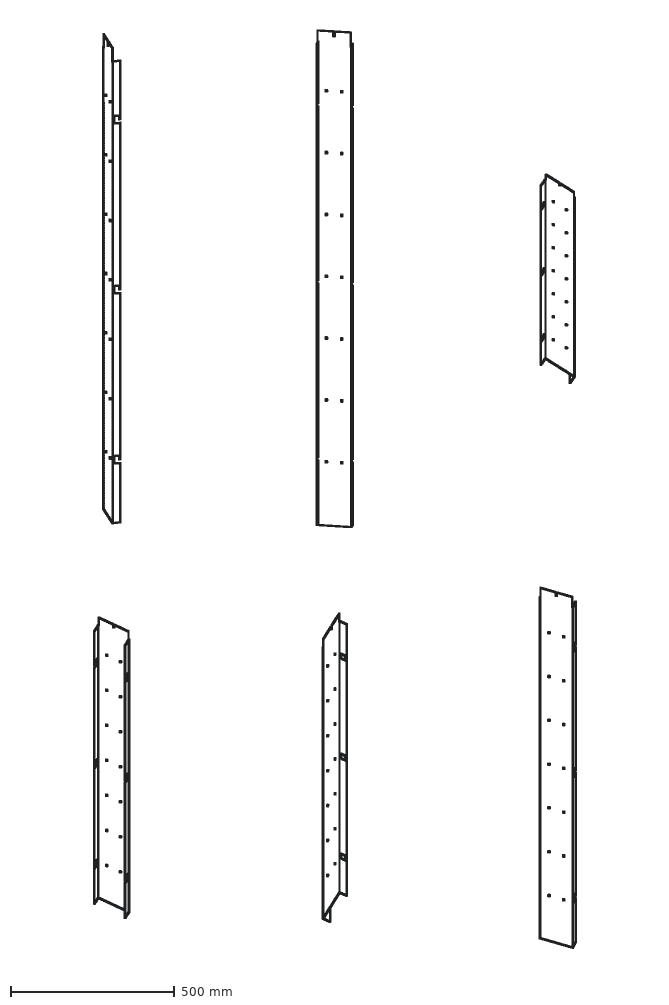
import cadquery as cq

length = 1602.0
width = 109.0
depth = 25.0
thickness = 2.0

tab_height = 45.0
tab_width = 104.0
flange_height = length - tab_height

notch_width = 5.0
notch_depth = 16.0

hole_diameter = 5.0
hole_spacing_x = 48.0
hole_pitch = 200.0
hole_rows = 7
first_hole_z = 207.0

slot_pitch = 574.0
slot_count = 3
first_slot_z = 200.0
slot_height = 25.0
entry_height = 13.0
slot_reach = 20.0
lip_width = 5.0


def make_channel():
    outer = cq.Workplane("XY").box(width, depth, flange_height, centered=(True, False, False))
    inner_width = width - 2 * thickness
    inner = (
        cq.Workplane("XY")
        .box(inner_width, depth, flange_height, centered=(True, False, False))
        .translate((0, thickness, 0))
    )
    web = cq.Workplane("XY").box(tab_width, thickness, length, centered=(True, False, False))
    return outer.cut(inner).union(web)


def make_notch():
    """Round-bottomed notch, open at the top of the tab."""
    radius = notch_width / 2
    round_z = length - notch_depth + radius
    return (
        cq.Workplane("XZ")
        .moveTo(-radius, length)
        .lineTo(-radius, round_z)
        .threePointArc((0, length - notch_depth), (radius, round_z))
        .lineTo(radius, length)
        .close()
        .extrude(-thickness)
    )


def make_web_holes():
    centers = [
        (side * hole_spacing_x / 2, first_hole_z + row * hole_pitch)
        for row in range(hole_rows)
        for side in (-1, 1)
    ]
    return cq.Workplane("XZ").pushPoints(centers).circle(hole_diameter / 2).extrude(-thickness)


def make_hook_slot(bottom_z):
    """Slot running across the whole width, so it opens both flanges."""
    inner_y = depth - slot_reach
    lip_y = depth - lip_width
    entry_top = bottom_z + entry_height
    slot_top = bottom_z + slot_height
    return (
        cq.Workplane("YZ")
        .moveTo(depth, bottom_z)
        .lineTo(inner_y, bottom_z)
        .lineTo(inner_y, slot_top)
        .lineTo(lip_y, slot_top)
        .lineTo(lip_y, entry_top)
        .lineTo(depth, entry_top)
        .close()
        .extrude(width / 2, both=True)
    )


result = make_channel().cut(make_notch()).cut(make_web_holes())
for index in range(slot_count):
    result = result.cut(make_hook_slot(first_slot_z + index * slot_pitch))